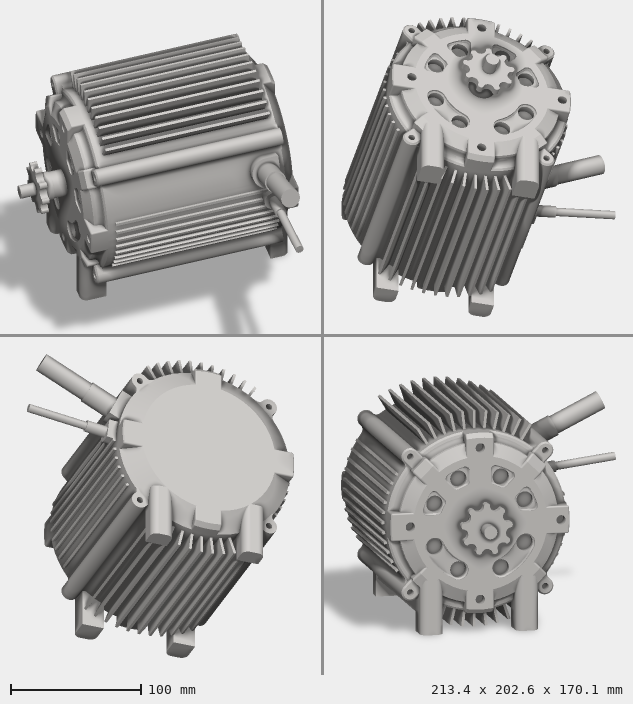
import cadquery as cq
import math

BODY_LENGTH = 167.4
BODY_RADIUS = 70.7
FRONT_RIM_Y = 13.9
REAR_RIM_Y = 157.5

ARM_START = 42.7
ARM_WIDTH = 21.8
ARM_ROUND = 1.3
SIDE_ARM_CHAMFER = 0.9
UPRIGHT_ARM_CHAMFER = 3.5
ARM_HOLE_RADIUS = 3.6
ARM_HOLE_DEPTH = 8.5
ARM_HOLES = [(0, 59.4), (0, -59.4), (63.6, 0), (-55.0, 0)]

LUG_ANGLES = [45, 135, 225, 315]
LUG_ARM_WIDTH = 15.8
LUG_ARM_ROUND = 1.7
LUG_ARM_BEND = 59.4
LUG_ARM_REACH = 67.3
LUG_ARM_DROP = 2.8

LUG_CENTRE = 53.2 * math.sqrt(2)
LUG_RADIUS = 6.6
LUG_HOLE_RADIUS = 2.5
LUG_FRONT_Y = 8.3
LUG_REAR_Y = 158.2
LUG_EDGE_CHAMFER = 1.3
LUG_BLEND = 4.0

FIN_STEP = 6.33
FIN_THICKNESS = 2.1
FIN_FRONT_Y = 19.9
FIN_REAR_Y = 152.2
LONG_FIN_TIP = 84.5
SHORT_FIN_TIP = 73.0
FIN_ROOT = 68.3
FINS_PER_HALF = 5
RIGHT_FINS_ABOVE = 2

FOOT_X = 37.5
FOOT_WIDTH = 17.7
FOOT_BOTTOM = -85.6
FOOT_TOP = -42.7
FRONT_FOOT_LENGTH = 19.9
REAR_FOOT_LENGTH = 15.2
FOOT_ROUND = 5.5

POCKET_INNER = 32.0
POCKET_OUTER = 47.0
POCKET_DEPTH = 2.5
POCKET_CHAMFER = 1.0
POCKET_CARDINAL_GAP = 8.3
POCKET_DIAGONAL_GAP = 5.3
POCKET_CORNER = 3.6
VENT_CIRCLE = 39.3
VENT_OFFSET = 19.8
VENT_RADIUS = 6.5
VENT_DEPTH = 8.1

POWER_ANGLE = 26
POWER_Y = 142.2
POWER_STEPS = [(12.2, 78.5), (8.5, 100.8), (7.5, 142.5)]
SIGNAL_ANGLE = 7
SIGNAL_Y = 145.6
SIGNAL_STEPS = [(8.0, 77.5), (4.5, 93.7), (3.2, 141.1)]
CABLE_START = 59.8
CABLE_BOSS_REAR_Y = 152.2

JOURNAL_RADIUS = 15.2
JOURNAL_DEPTH = 10.7
SHAFT_RADIUS = 10.5
SHOULDER_Y = -10.7
DRIVE_RADIUS = 9.8
DRIVE_FLATS = 14.7
PIN_RADIUS = 5.1
PIN_END_Y = -35.2
HUB_RADIUS = 11.0
SPROCKET_REAR_Y = -17.3
SPROCKET_FRONT_Y = -23.0
TEETH = 9
TOOTH_TIP = 20.5
TOOTH_FLANK_OUTER = 19.2
TOOTH_FLANK_INNER = 18.0
TOOTH_HALF_WIDTH = 2.3
TOOTH_ROOT = 15.2


def section_at(y):
    """Workplane across the motor axis: local x = X, local y = Z, extruding toward -Y."""
    return cq.Workplane("XZ", origin=(0, y, 0))


def disc(radius, y_front, y_rear):
    return section_at(y_rear).circle(radius).extrude(y_rear - y_front)


def turn(body, angle):
    """Swing a body built along +X to an angle from +X toward +Z."""
    return body.rotate((0, 0, 0), (0, 1, 0), -angle)


def polar(radius, angle):
    a = math.radians(angle)
    return (radius * math.cos(a), radius * math.sin(a))


def barrel():
    """Round body with both end caps recessed between their arms."""
    profile = (
        cq.Workplane("XY")
        .moveTo(0, 0)
        .lineTo(53.0, 0)
        .lineTo(62.8, 5.1)
        .lineTo(63.2, 7.0)
        .lineTo(63.2, 8.3)
        .threePointArc((64.3, 11.0), (67.0, 12.2))
        .lineTo(69.2, 12.5)
        .lineTo(BODY_RADIUS, FRONT_RIM_Y)
        .lineTo(BODY_RADIUS, REAR_RIM_Y)
        .lineTo(67.3, 159.7)
        .lineTo(55.0, BODY_LENGTH)
        .lineTo(0, BODY_LENGTH)
        .close()
    )
    return profile.revolve(360, (0, 0, 0), (0, 1, 0))


def cardinal_arm(face_y, rim_y, end_chamfer):
    """Arm along +X, ending on the barrel surface, with its two sides rounded over."""
    outward, inward = ("<Y", ">Y") if face_y < rim_y else (">Y", "<Y")
    y_front = min(face_y, rim_y)
    y_rear = max(face_y, rim_y)
    bar = (
        section_at(y_rear)
        .rect(2 * BODY_RADIUS + ARM_WIDTH, ARM_WIDTH)
        .extrude(y_rear - y_front)
        .intersect(disc(BODY_RADIUS, y_front, y_rear))
        .intersect(cq.Workplane("XY").box(
            BODY_RADIUS, 2 * BODY_LENGTH, ARM_WIDTH, centered=(False, True, True)
        ).translate((ARM_START, 0, 0)))
    )
    bar = bar.faces(outward).edges(">X").chamfer(end_chamfer)
    return bar.faces("<Z or >Z").edges(f"not (<X or {inward})").fillet(ARM_ROUND)


def cardinal_arms(face_y, rim_y):
    side_arm = cardinal_arm(face_y, rim_y, SIDE_ARM_CHAMFER)
    upright_arm = cardinal_arm(face_y, rim_y, UPRIGHT_ARM_CHAMFER)
    return [
        turn(side_arm, 0),
        turn(upright_arm, 90),
        turn(side_arm, 180),
        turn(upright_arm, 270),
    ]


def lug_arm(angle):
    """Diagonal arm: flat near the centre, then sloping back to a square end."""
    bar = (
        cq.Workplane("XY", origin=(0, 0, -LUG_ARM_WIDTH / 2))
        .polyline([
            (ARM_START, 0),
            (LUG_ARM_BEND, 0),
            (LUG_ARM_REACH, LUG_ARM_DROP),
            (LUG_ARM_REACH, FRONT_RIM_Y),
            (ARM_START, FRONT_RIM_Y),
        ])
        .close()
        .extrude(LUG_ARM_WIDTH)
    )
    bar = bar.faces("<Z or >Z").edges("not (<X or >Y)").fillet(LUG_ARM_ROUND)
    return turn(bar, angle)


def bolt_lug(angle):
    """Lug along the barrel, blended into it by a concave fillet on each side."""
    blend_y = LUG_RADIUS + LUG_BLEND
    blend_x = math.sqrt((BODY_RADIUS + LUG_BLEND) ** 2 - blend_y ** 2)
    touch_angle = math.degrees(math.atan2(blend_y, blend_x))
    touch_x, touch_y = polar(BODY_RADIUS, touch_angle)
    arc_angle = (180 + touch_angle + 270) / 2
    arc_dx, arc_dy = polar(LUG_BLEND, arc_angle)
    lug = (
        section_at(LUG_REAR_Y)
        .moveTo(ARM_START, -touch_y)
        .lineTo(touch_x, -touch_y)
        .threePointArc((blend_x + arc_dx, -blend_y - arc_dy), (blend_x, -LUG_RADIUS))
        .lineTo(LUG_CENTRE, -LUG_RADIUS)
        .threePointArc((LUG_CENTRE + LUG_RADIUS, 0), (LUG_CENTRE, LUG_RADIUS))
        .lineTo(blend_x, LUG_RADIUS)
        .threePointArc((blend_x + arc_dx, blend_y + arc_dy), (touch_x, touch_y))
        .lineTo(ARM_START, touch_y)
        .close()
        .extrude(LUG_REAR_Y - FRONT_RIM_Y)
    )
    ear = (
        section_at(FRONT_RIM_Y)
        .moveTo(ARM_START, -LUG_RADIUS)
        .lineTo(LUG_CENTRE, -LUG_RADIUS)
        .threePointArc((LUG_CENTRE + LUG_RADIUS, 0), (LUG_CENTRE, LUG_RADIUS))
        .lineTo(ARM_START, LUG_RADIUS)
        .close()
        .extrude(FRONT_RIM_Y - LUG_FRONT_Y)
        .faces("<Y").edges("not <X").chamfer(LUG_EDGE_CHAMFER)
    )
    return turn(lug.union(ear), angle)


def fin(angle, tip):
    plate = cq.Workplane("XY").box(
        tip - FIN_ROOT, FIN_REAR_Y - FIN_FRONT_Y, FIN_THICKNESS, centered=(False, False, True)
    )
    return turn(plate.translate((FIN_ROOT, FIN_FRONT_Y, 0)), angle)


def fin_bank(middle, first, last, tip):
    return [fin(middle + i * FIN_STEP, tip) for i in range(first, last + 1)]


def foot(x, y_front, length, outer_side):
    block = cq.Workplane("XY").box(
        FOOT_WIDTH, length, FOOT_TOP - FOOT_BOTTOM, centered=(True, False, False)
    )
    block = block.faces(outer_side).edges("|Z").fillet(FOOT_ROUND)
    return block.translate((x, y_front, FOOT_BOTTOM))


def cable(angle, y, steps):
    """Stepped round lead: a square-backed boss on the barrel, a sleeve and the cable itself."""
    line = cq.Workplane("YZ", origin=(CABLE_START, y, 0))
    lead = cq.Workplane("XY")
    for radius, end in steps:
        lead = lead.union(line.circle(radius).extrude(end - CABLE_START))
    boss_radius, boss_end = steps[0]
    boss_length = boss_end - CABLE_START
    rear_half = cq.Workplane("XY").box(
        boss_length, CABLE_BOSS_REAR_Y - y, 2 * boss_radius, centered=(False, False, True)
    )
    lead = lead.union(rear_half.translate((CABLE_START, y, 0)))
    trim = cq.Workplane("XY").box(
        boss_length, boss_radius, 2 * boss_radius, centered=(False, False, True)
    )
    lead = lead.cut(trim.translate((CABLE_START, CABLE_BOSS_REAR_Y, 0)))
    return turn(lead, angle)


def vent_pocket():
    """Pocket between the +X arm and the +X+Z diagonal, cut into the front face."""
    def on_cardinal(radius):
        return (math.sqrt(radius ** 2 - POCKET_CARDINAL_GAP ** 2), POCKET_CARDINAL_GAP)

    def on_diagonal(radius):
        return polar(radius, 45 - math.degrees(math.asin(POCKET_DIAGONAL_GAP / radius)))

    outline = (
        section_at(0)
        .moveTo(*on_cardinal(POCKET_INNER))
        .lineTo(*on_cardinal(POCKET_OUTER))
        .threePointArc(polar(POCKET_OUTER, 45 - VENT_OFFSET), on_diagonal(POCKET_OUTER))
        .lineTo(*on_diagonal(POCKET_INNER))
        .threePointArc(polar(POCKET_INNER, 45 - VENT_OFFSET), on_cardinal(POCKET_INNER))
        .close()
    )
    block = outline.extrude(-POCKET_DEPTH).edges("|Y").fillet(POCKET_CORNER)
    return block.faces(">Y").chamfer(POCKET_CHAMFER)


def kidney_pocket():
    """Curved slot below the centre, joining two vent holes on a diagonal."""
    start = 315 - VENT_OFFSET
    end = 315 + VENT_OFFSET
    half_width = (POCKET_OUTER - POCKET_INNER) / 2
    middle = (POCKET_OUTER + POCKET_INNER) / 2
    cap_reach = math.degrees(half_width / middle)
    return (
        section_at(0)
        .moveTo(*polar(POCKET_OUTER, start))
        .threePointArc(polar(POCKET_OUTER, 315), polar(POCKET_OUTER, end))
        .threePointArc(polar(middle, end + cap_reach), polar(POCKET_INNER, end))
        .threePointArc(polar(POCKET_INNER, 315), polar(POCKET_INNER, start))
        .threePointArc(polar(middle, start - cap_reach), polar(POCKET_OUTER, start))
        .close()
        .extrude(-POCKET_DEPTH)
        .faces(">Y").chamfer(POCKET_CHAMFER)
    )


def face_pockets():
    upper = vent_pocket()
    upper_pair = [upper, turn(upper.mirror("XY"), 90)]
    right_half = upper_pair + [kidney_pocket()]
    return right_half + [pocket.mirror("YZ") for pocket in right_half]


def front_holes():
    arm_holes = section_at(0).pushPoints(ARM_HOLES).circle(ARM_HOLE_RADIUS).extrude(-ARM_HOLE_DEPTH)
    vent_places = [polar(VENT_CIRCLE, a + s * VENT_OFFSET) for a in LUG_ANGLES for s in (-1, 1)]
    vents = section_at(0).pushPoints(vent_places).circle(VENT_RADIUS).extrude(-VENT_DEPTH)
    lug_places = [polar(LUG_CENTRE, a) for a in LUG_ANGLES]
    bolts = section_at(0).pushPoints(lug_places).circle(LUG_HOLE_RADIUS).extrude(-BODY_LENGTH)
    return [arm_holes, vents, bolts]


def make_housing():
    parts = cardinal_arms(0, FRONT_RIM_Y)
    parts += cardinal_arms(BODY_LENGTH, REAR_RIM_Y)
    for angle in LUG_ANGLES:
        parts += [lug_arm(angle), bolt_lug(angle)]
    parts += fin_bank(90, -FINS_PER_HALF, FINS_PER_HALF, LONG_FIN_TIP)
    parts += fin_bank(270, -FINS_PER_HALF, FINS_PER_HALF, LONG_FIN_TIP)
    parts += fin_bank(180, -FINS_PER_HALF, FINS_PER_HALF, SHORT_FIN_TIP)
    parts += fin_bank(0, -FINS_PER_HALF, RIGHT_FINS_ABOVE, SHORT_FIN_TIP)
    for x in (-FOOT_X, FOOT_X):
        parts.append(foot(x, 0, FRONT_FOOT_LENGTH, "<Y"))
        parts.append(foot(x, BODY_LENGTH - REAR_FOOT_LENGTH, REAR_FOOT_LENGTH, ">Y"))
    parts.append(cable(POWER_ANGLE, POWER_Y, POWER_STEPS))
    parts.append(cable(SIGNAL_ANGLE, SIGNAL_Y, SIGNAL_STEPS))

    body = cq.Workplane(barrel().val().fuse(*[part.val() for part in parts]).clean())
    for cutter in face_pockets() + front_holes():
        body = body.cut(cutter)
    return body.cut(disc(JOURNAL_RADIUS, 0, JOURNAL_DEPTH))


def drive_section():
    """Double-D length of the shaft that carries the sprocket."""
    flats = cq.Workplane("XY").box(4 * DRIVE_RADIUS, 4 * BODY_LENGTH, DRIVE_FLATS)
    return disc(DRIVE_RADIUS, SPROCKET_FRONT_Y, SHOULDER_Y).intersect(flats)


def make_shaft():
    journal = disc(JOURNAL_RADIUS, 0, JOURNAL_DEPTH)
    neck = disc(SHAFT_RADIUS, SHOULDER_Y, 0)
    pin = disc(PIN_RADIUS, PIN_END_Y, SPROCKET_FRONT_Y)
    return journal.union(neck).union(drive_section()).union(pin)


def make_sprocket():
    pitch = 360 / TEETH
    flank_spread = math.degrees(math.asin(TOOTH_HALF_WIDTH / TOOTH_FLANK_INNER))
    tip_spread = math.degrees(math.asin(TOOTH_HALF_WIDTH / TOOTH_FLANK_OUTER))
    outline = section_at(SPROCKET_REAR_Y).moveTo(*polar(TOOTH_FLANK_INNER, 90 - flank_spread))
    for i in range(TEETH):
        middle = 90 + i * pitch
        outline = (
            outline
            .lineTo(*polar(TOOTH_FLANK_OUTER, middle - tip_spread))
            .threePointArc(polar(TOOTH_TIP, middle), polar(TOOTH_FLANK_OUTER, middle + tip_spread))
            .lineTo(*polar(TOOTH_FLANK_INNER, middle + flank_spread))
            .threePointArc(
                polar(TOOTH_ROOT, middle + pitch / 2),
                polar(TOOTH_FLANK_INNER, middle + pitch - flank_spread),
            )
        )
    wheel = outline.close().extrude(SPROCKET_REAR_Y - SPROCKET_FRONT_Y)
    hub = disc(HUB_RADIUS, SPROCKET_REAR_Y, SHOULDER_Y)
    return wheel.union(hub).cut(drive_section())


housing = make_housing()
shaft = make_shaft()
sprocket = make_sprocket()

result = cq.Compound.makeCompound([housing.val(), shaft.val(), sprocket.val()])